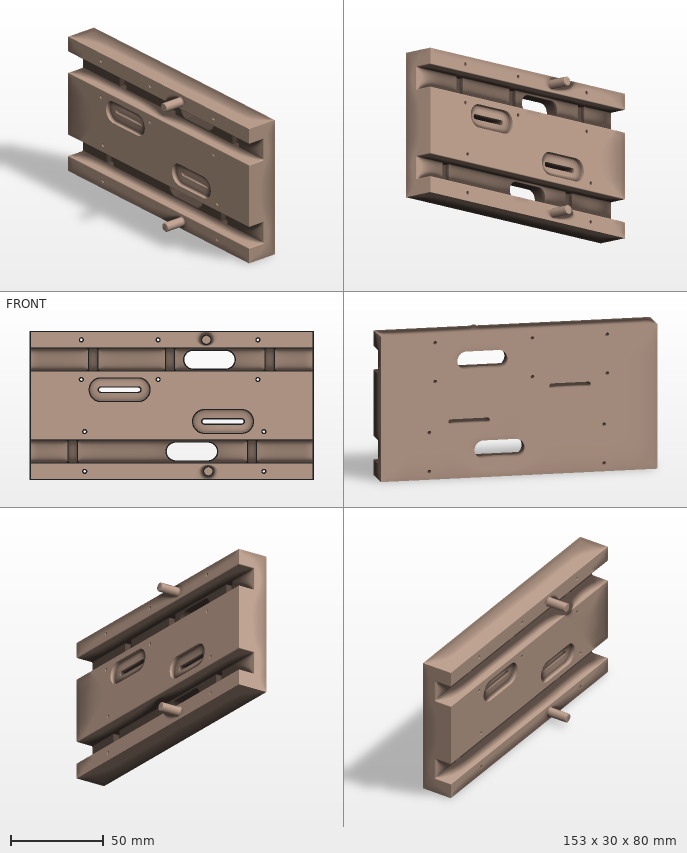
import cadquery as cq

LENGTH = 153.0
THICKNESS = 18.0
HEIGHT = 80.0

EDGE_RADIUS = 0.5

CHANNEL_Z = 24.8
CHANNEL_WIDTH = 12.4
CHANNEL_DEPTH = 10.1

GROOVE_WIDTH = 5.0
GROOVE_DEPTH = 3.0
GROOVE_SHIFT = 6.5

OPENING_LENGTH = 27.7
OPENING_WIDTH = 10.1
UPPER_OPENING_X = 20.3
LOWER_OPENING_X = 10.9

POCKET_LENGTH = 32.9
POCKET_WIDTH = 12.9
POCKET_DEPTH = 2.6
POCKET_Z = 8.5
SLOT_LENGTH = 23.0
SLOT_WIDTH = 2.8
UPPER_POCKET_X = -28.2
LOWER_POCKET_X = 27.7

HOLE_DIAMETER = 2.0
HOLE_OFFSET = 10.7
UPPER_HOLES_X = (-48.8, -7.3, 46.5)
LOWER_HOLES_X = (-47.0, 49.7)

PIN_DIAMETER = 5.0
PIN_LENGTH = 12.0
PIN_Z = CHANNEL_Z + HOLE_OFFSET
UPPER_PIN_X = 18.7
LOWER_PIN_X = 19.7


def plane_facing_front(x, y, z):
    """Work plane at a point, with local Y up and its normal toward -Y."""
    return cq.Workplane("XZ", origin=(x, y, z))


def stadium(x, z, length, width, depth):
    """Round-ended block running from the working face into the plate."""
    return plane_facing_front(x, 0, z).slot2D(length, width).extrude(-depth)


def cut_channel(plate, z):
    """Cut a channel with rounded floor corners, then round its lips and end edges."""
    channel = (
        cq.Workplane("XY", origin=(0, 0, z))
        .box(LENGTH, CHANNEL_DEPTH, CHANNEL_WIDTH, centered=(True, False, True))
        .edges("|X and >Y")
        .fillet(EDGE_RADIUS)
    )
    plate = plate.cut(channel)
    reach = CHANNEL_WIDTH / 2 + EDGE_RADIUS
    around_channel = cq.selectors.BoxSelector(
        (-LENGTH, -EDGE_RADIUS, z - reach),
        (LENGTH, CHANNEL_DEPTH + EDGE_RADIUS, z + reach),
    )
    ends = plate.faces("<X or >X").edges(around_channel)
    lips = plate.faces("<Y").edges("|X").edges(around_channel)
    return ends.add(lips).fillet(EDGE_RADIUS)


def cut_groove(plate, x, z):
    """Cut a groove across a channel floor, with rounded mouth edges and floor corners."""
    half = GROOVE_WIDTH / 2
    flared_half = half + EDGE_RADIUS
    groove = (
        cq.Workplane("XY", origin=(x, CHANNEL_DEPTH, z))
        .moveTo(-flared_half, -EDGE_RADIUS)
        .lineTo(flared_half, -EDGE_RADIUS)
        .lineTo(flared_half, 0)
        .radiusArc((half, EDGE_RADIUS), EDGE_RADIUS)
        .lineTo(half, GROOVE_DEPTH)
        .lineTo(-half, GROOVE_DEPTH)
        .lineTo(-half, EDGE_RADIUS)
        .radiusArc((-flared_half, 0), EDGE_RADIUS)
        .close()
        .extrude(CHANNEL_WIDTH / 2, both=True)
        .edges(">Y")
        .fillet(EDGE_RADIUS)
    )
    return plate.cut(groove)


def cut_opening(plate, x, z):
    """Cut a round-ended opening through a channel floor and round its front rim."""
    plate = plate.cut(stadium(x, z, OPENING_LENGTH, OPENING_WIDTH, THICKNESS))
    half_length = OPENING_LENGTH / 2 + EDGE_RADIUS
    half_width = OPENING_WIDTH / 2 + EDGE_RADIUS / 2
    rim = cq.selectors.BoxSelector(
        (x - half_length, CHANNEL_DEPTH - EDGE_RADIUS, z - half_width),
        (x + half_length, CHANNEL_DEPTH + EDGE_RADIUS, z + half_width),
        boundingbox=True,
    )
    return plate.edges(rim).fillet(EDGE_RADIUS)


def cut_slotted_pocket(plate, x, z):
    """Cut a round-ended pocket with rounded floor corners and a narrow slot through it."""
    pocket = stadium(x, z, POCKET_LENGTH, POCKET_WIDTH, POCKET_DEPTH)
    pocket = pocket.faces(">Y").edges().fillet(EDGE_RADIUS)
    return plate.cut(pocket).cut(stadium(x, z, SLOT_LENGTH, SLOT_WIDTH, THICKNESS))


def cut_hole_pair(plate, x, channel_z):
    """Cut the through holes just above and just below a channel."""
    holes = (
        plane_facing_front(x, 0, channel_z)
        .pushPoints([(0, HOLE_OFFSET), (0, -HOLE_OFFSET)])
        .circle(HOLE_DIAMETER / 2)
        .extrude(-THICKNESS)
    )
    return plate.cut(holes)


def pin(x, z):
    """Pin with a rounded tip and a flared foot, turned about an axis along Y."""
    radius = PIN_DIAMETER / 2
    return (
        cq.Workplane("XY", origin=(x, 0, z))
        .moveTo(0, 0)
        .lineTo(radius + EDGE_RADIUS, 0)
        .radiusArc((radius, -EDGE_RADIUS), -EDGE_RADIUS)
        .lineTo(radius, EDGE_RADIUS - PIN_LENGTH)
        .radiusArc((radius - EDGE_RADIUS, -PIN_LENGTH), EDGE_RADIUS)
        .lineTo(0, -PIN_LENGTH)
        .close()
        .revolve(360, (0, 0, 0), (0, 1, 0))
    )


plate = cq.Workplane("XY").box(LENGTH, THICKNESS, HEIGHT, centered=(True, False, True))

for side in (1, -1):
    plate = cut_channel(plate, side * CHANNEL_Z)

plate = cut_opening(plate, UPPER_OPENING_X, CHANNEL_Z)
plate = cut_opening(plate, LOWER_OPENING_X, -CHANNEL_Z)

for side, holes_x in ((1, UPPER_HOLES_X), (-1, LOWER_HOLES_X)):
    for hole_x in holes_x:
        plate = cut_hole_pair(plate, hole_x, side * CHANNEL_Z)
        plate = cut_groove(plate, hole_x + side * GROOVE_SHIFT, side * CHANNEL_Z)

plate = cut_slotted_pocket(plate, UPPER_POCKET_X, POCKET_Z)
plate = cut_slotted_pocket(plate, LOWER_POCKET_X, -POCKET_Z)

result = plate.union(pin(UPPER_PIN_X, PIN_Z)).union(pin(LOWER_PIN_X, -PIN_Z))